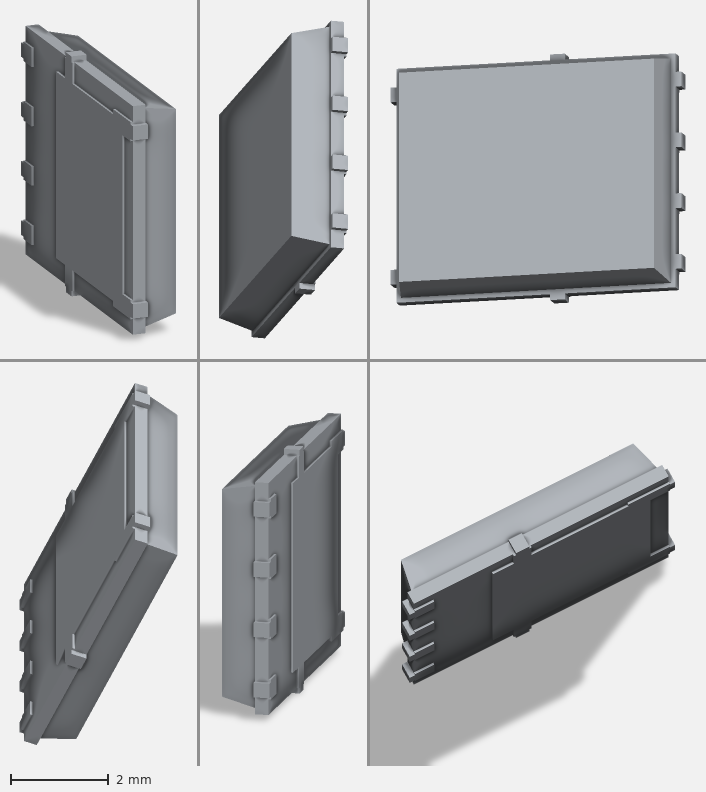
import cadquery as cq

overall_length = 6.15
overall_height = 5.15
overall_depth = 1.1

cap_depth = 0.77
contact_proud = 0.05
contact_depth = overall_depth - cap_depth
plate_depth = contact_depth - contact_proud
plate_front = -plate_depth

tip_reach = 0.12
tip_width = 0.31
root_length = 0.45
root_width = 0.41

plate_length = overall_length - 2 * tip_reach
plate_height = overall_height - 2 * tip_reach

cap_inset = 0.1
cap_draft = 0.16
cap_length = plate_length - 2 * cap_inset
cap_height = plate_height - 2 * cap_inset

lead_count = 4
lead_pitch = 1.27
lead_row_top = (lead_count - 1) / 2 * lead_pitch
lead_heights = [lead_row_top - i * lead_pitch for i in range(lead_count)]

pad_left_margin = 1.81
pad_left = -plate_length / 2 + pad_left_margin
pad_right = plate_length / 2 - root_length
pad_height = plate_height - 2 * root_length
pad_tab_x = -0.455
shoulder_length = 0.96


def block(x_min, x_max, z_center, z_size, y_front, y_back):
    """Box between the given X and Y limits, centered on z_center."""
    x_size = x_max - x_min
    y_size = y_back - y_front
    center = ((x_min + x_max) / 2, (y_front + y_back) / 2, z_center)
    return cq.Workplane("XY").box(x_size, y_size, z_size).translate(center)


def terminal_root():
    """Wide part of a terminal, ending flush with a plate edge at X = 0 and reaching toward +X."""
    return block(0, root_length, 0, root_width, -contact_depth, 0)


def terminal():
    """Root and tip in one piece, with the tip pointing toward -X."""
    tip = block(-tip_reach, 0, 0, tip_width, -contact_depth, 0)
    return terminal_root().union(tip)


def at_left_edge(shape, z):
    return shape.translate((-plate_length / 2, 0, z))


def at_right_edge(shape, z):
    return shape.mirror("YZ").translate((plate_length / 2, 0, z))


def at_top_edge(shape, x):
    turned = shape.rotate((0, 0, 0), (0, 1, 0), 90)
    return turned.translate((x, 0, plate_height / 2))


def at_bottom_edge(shape, x):
    return at_top_edge(shape, x).mirror("XY")


def place_pad_tabs(shape):
    """Copies of a terminal shape at the four tab positions of the thermal pad."""
    return [
        at_top_edge(shape, pad_tab_x),
        at_bottom_edge(shape, pad_tab_x),
        at_right_edge(shape, lead_row_top),
        at_right_edge(shape, -lead_row_top),
    ]


def make_leads():
    return [at_left_edge(terminal(), z) for z in lead_heights]


def make_thermal_pad():
    pad = block(pad_left, pad_right, 0, pad_height, -contact_depth, plate_front)
    shoulder_left = plate_length / 2 - shoulder_length
    for z in (lead_row_top, -lead_row_top):
        shoulder = block(shoulder_left, pad_right, z, root_width, -contact_depth, plate_front)
        pad = pad.union(shoulder)
    for tab in place_pad_tabs(terminal()):
        pad = pad.union(tab)
    return pad.clean()


def make_base_plate():
    """Plate with a notch through its edge for every terminal root."""
    plate = block(-plate_length / 2, plate_length / 2, 0, plate_height, plate_front, 0)
    lead_notches = [at_left_edge(terminal_root(), z) for z in lead_heights]
    for notch in lead_notches + place_pad_tabs(terminal_root()):
        plate = plate.cut(notch)
    return plate


def make_cap():
    """Block on the back of the plate whose four sides lean inward toward +Y."""
    return (
        cq.Workplane("XZ")
        .rect(cap_length, cap_height)
        .workplane(offset=-cap_depth)
        .rect(cap_length - 2 * cap_draft, cap_height - 2 * cap_draft)
        .loft(ruled=True)
    )


base_plate = make_base_plate()
cap = make_cap()
thermal_pad = make_thermal_pad()
leads = make_leads()

result = cq.Compound.makeCompound(
    [
        base_plate.solids().val(),
        cap.val(),
        thermal_pad.solids().val(),
        *[lead.solids().val() for lead in leads],
    ]
)